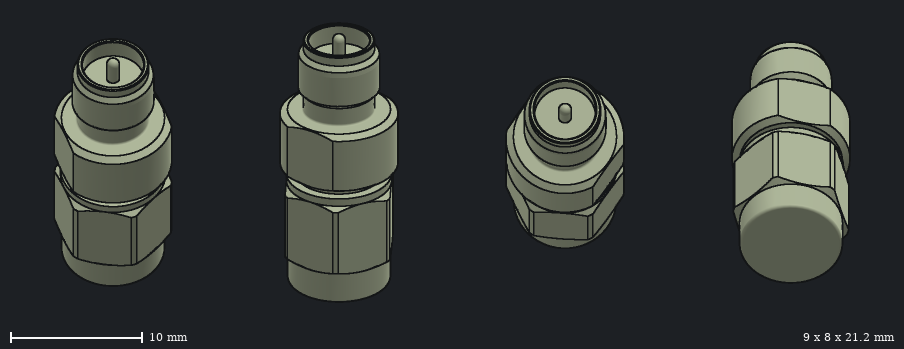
import cadquery as cq
import math

corner_radius = 4.5
across_flats = 8.0
bevel_slope = math.tan(math.radians(30))
cutter_width = 2 * corner_radius

sleeve_radius = 3.93
sleeve_edge_radius = 0.25
hex_bottom = 2.55
hex_top = 8.49
collar_radius = across_flats / 2
nut_top = 9.12

groove_radius = 3.25
corner_fillet = 0.2

body_bottom = 9.76
body_top = 14.73
body_face_radius = 3.93

neck_radius = 2.72
band_radius = 3.12
band_cone = band_radius - neck_radius
band_bottom = 16.28
band_taper_start = 19.15
band_taper_length = 0.45
band_taper_depth = 0.05
band_top = 19.97
rim_top = 20.75
rim_edge = 0.08

bore_radius = 2.33
bore_depth = 1.6
pin_radius = 0.49
pin_top = 21.22


def bevel_height(inner_radius):
    """Height of a wrench bevel that runs from inner_radius out to the corners."""
    return (corner_radius - inner_radius) * bevel_slope


def turn(profile):
    """Solid of revolution of a closed XZ profile about the Z axis."""
    return profile.close().revolve(360, (0, 0, 0), (0, 1, 0))


def make_nut():
    """Turned nut blank cut down to a rounded hexagon between its bevels."""
    profile = (
        cq.Workplane("XZ")
        .moveTo(0, 0)
        .lineTo(sleeve_radius, 0)
        .lineTo(sleeve_radius, hex_bottom)
        .lineTo(corner_radius, hex_bottom + bevel_height(sleeve_radius))
        .lineTo(corner_radius, hex_top - bevel_height(collar_radius))
        .lineTo(collar_radius, hex_top)
        .lineTo(collar_radius, nut_top)
        .lineTo(0, nut_top)
    )
    blank = turn(profile).faces("<Z").edges().fillet(sleeve_edge_radius)
    hex_corner_diameter = across_flats / math.cos(math.pi / 6)
    hexagon = cq.Workplane("XY").polygon(6, hex_corner_diameter).extrude(nut_top)
    return blank.intersect(hexagon)


def make_body():
    """Bevelled round body with one wrench flat on the front and one on the back."""
    bevel = bevel_height(body_face_radius)
    height = body_top - body_bottom
    profile = (
        cq.Workplane("XZ")
        .moveTo(0, body_bottom)
        .lineTo(body_face_radius, body_bottom)
        .lineTo(corner_radius, body_bottom + bevel)
        .lineTo(corner_radius, body_top - bevel)
        .lineTo(body_face_radius, body_top)
        .lineTo(0, body_top)
    )
    blank = turn(profile)
    flats = (
        cq.Workplane("XY", origin=(0, 0, body_bottom))
        .rect(cutter_width, across_flats)
        .extrude(height)
    )
    return blank.intersect(flats)


def make_groove_core():
    """Core of the groove, flaring into the underside of the body."""
    profile = (
        cq.Workplane("XZ")
        .moveTo(0, nut_top)
        .lineTo(groove_radius, nut_top)
        .lineTo(groove_radius, body_bottom - corner_fillet)
        .radiusArc((groove_radius + corner_fillet, body_bottom), corner_fillet)
        .lineTo(0, body_bottom)
    )
    return turn(profile)


def make_socket():
    """Neck, raised band and rim above the body, bored out from the top."""
    taper_end = band_taper_start + band_taper_length
    bore_floor = rim_top - bore_depth
    profile = (
        cq.Workplane("XZ")
        .moveTo(0, body_top)
        .lineTo(neck_radius + corner_fillet, body_top)
        .radiusArc((neck_radius, body_top + corner_fillet), corner_fillet)
        .lineTo(neck_radius, band_bottom)
        .lineTo(band_radius, band_bottom + band_cone)
        .lineTo(band_radius, band_taper_start)
        .lineTo(band_radius - band_taper_depth, taper_end)
        .lineTo(neck_radius, band_top)
        .lineTo(neck_radius, rim_top - rim_edge)
        .lineTo(neck_radius - rim_edge, rim_top)
        .lineTo(bore_radius + rim_edge, rim_top)
        .lineTo(bore_radius, rim_top - rim_edge)
        .lineTo(bore_radius, bore_floor)
        .lineTo(0, bore_floor)
    )
    return turn(profile)


def make_pin():
    """Round-nosed centre pin rising through the bore, rooted at the foot of the neck."""
    profile = (
        cq.Workplane("XZ")
        .moveTo(0, body_top)
        .lineTo(pin_radius, body_top)
        .lineTo(pin_radius, pin_top - pin_radius)
        .radiusArc((0, pin_top), -pin_radius)
    )
    return turn(profile)


result = (
    make_nut()
    .union(make_groove_core())
    .union(make_body())
    .union(make_socket())
    .union(make_pin())
)